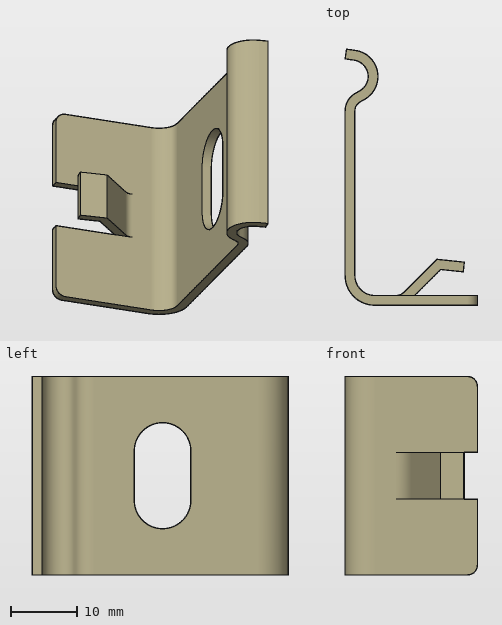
import cadquery as cq
import math

thickness = 1.5
height = 30.0
flange_length = 20.0
overall_depth = 38.7
main_bend_radius = 4.5

hook_bend_radius = 3.0
hook_bend_angle = 60
hook_radius = 4.0
hook_reach = 5.0
lip_tilt = 8

hole_width = 8.5
hole_height = 15.98
hole_center_y = 19.0

flange_corner_radius = thickness
tongue_width = 7.08
tongue_start = 7.75
tongue_bend_radius = 3.15
tongue_angle = 45
tongue_kink_x = 14.45
tongue_tip_length = 4.18
tongue_tip_droop = 6


def polar(center, radius, degrees):
    """Point at a radius and direction from a center."""
    angle = math.radians(degrees)
    return (center[0] + radius * math.cos(angle), center[1] + radius * math.sin(angle))


def extrude_centered(outline, depth):
    """Close an XY outline and extrude it equally above and below Z = 0."""
    return outline.close().extrude(depth / 2, both=True)


def make_strip():
    """Flange, wall and hook as one bent strip."""
    main_center = (main_bend_radius, main_bend_radius)
    main_inner_radius = main_bend_radius - thickness

    bend_inner_radius = hook_bend_radius - thickness
    bend_end = 180 - hook_bend_angle
    bend_middle = 180 - hook_bend_angle / 2
    hook_inner_radius = hook_radius - thickness
    hook_start = -hook_bend_angle
    hook_end = 90 - lip_tilt
    hook_middle = (hook_start + hook_end) / 2

    hook_center_x = hook_reach - hook_radius
    bend_end_x, bend_rise = polar((hook_bend_radius, 0), hook_bend_radius, bend_end)
    hook_start_x, hook_start_drop = polar((hook_center_x, 0), hook_inner_radius, hook_start)
    link_rise = (hook_start_x - bend_end_x) / math.tan(math.radians(hook_bend_angle))
    hook_rise = bend_rise + link_rise - hook_start_drop

    lip_start_x = polar((hook_center_x, 0), hook_inner_radius, hook_end)[0]
    lip_length = lip_start_x / math.cos(math.radians(lip_tilt))
    lip_outer_start = polar((hook_center_x, 0), hook_radius, hook_end)
    lip_rise = polar(lip_outer_start, lip_length, 180 - lip_tilt)[1]
    hook_center = (hook_center_x, overall_depth - lip_rise)
    wall_top = hook_center[1] - hook_rise
    bend_center = (hook_bend_radius, wall_top)
    bend_outer_end = polar(bend_center, hook_bend_radius, bend_end)
    hook_inner_end = polar(hook_center, hook_inner_radius, hook_end)
    lip_inner_tip = polar(hook_inner_end, lip_length, 180 - lip_tilt)
    lip_outer_tip = polar(lip_inner_tip, thickness, hook_end)

    outline = (
        cq.Workplane("XY")
        .moveTo(flange_length, 0)
        .lineTo(main_bend_radius, 0)
        .threePointArc(polar(main_center, main_bend_radius, 225), (0, main_bend_radius))
        .lineTo(0, wall_top)
        .threePointArc(polar(bend_center, hook_bend_radius, bend_middle), bend_outer_end)
        .lineTo(*polar(hook_center, hook_inner_radius, hook_start))
        .threePointArc(polar(hook_center, hook_inner_radius, hook_middle), hook_inner_end)
        .lineTo(*lip_inner_tip)
        .lineTo(*lip_outer_tip)
        .lineTo(*polar(hook_center, hook_radius, hook_end))
        .threePointArc(
            polar(hook_center, hook_radius, hook_middle),
            polar(hook_center, hook_radius, hook_start),
        )
        .lineTo(*polar(bend_center, bend_inner_radius, bend_end))
        .threePointArc(
            polar(bend_center, bend_inner_radius, bend_middle),
            (thickness, wall_top),
        )
        .lineTo(thickness, main_bend_radius)
        .threePointArc(
            polar(main_center, main_inner_radius, 225),
            (main_bend_radius, thickness),
        )
        .lineTo(flange_length, thickness)
    )
    strip = extrude_centered(outline, height)
    return strip.edges("|Y").edges(">X").fillet(flange_corner_radius)


def make_wall_hole():
    """Cutter for the upright oblong hole."""
    return (
        cq.Workplane("YZ")
        .center(hole_center_y, 0)
        .slot2D(hole_height, hole_width, 90)
        .extrude(thickness)
    )


def make_flange_notch():
    """Cutter for the opening left where the tongue is bent out of the flange."""
    notch_length = flange_length - tongue_start
    return cq.Workplane("XY").box(notch_length, thickness, tongue_width).translate(
        (tongue_start + notch_length / 2, thickness / 2, 0)
    )


def make_tongue():
    """Tongue that bends up from the flange and kinks down toward its tip."""
    bend_center = (tongue_start, tongue_bend_radius)
    bend_inner_radius = tongue_bend_radius - thickness
    bend_end = tongue_angle - 90
    bend_middle = bend_end - tongue_angle / 2
    lower_bend_end = polar(bend_center, tongue_bend_radius, bend_end)
    upper_bend_end = polar(bend_center, bend_inner_radius, bend_end)

    rise = (tongue_kink_x - lower_bend_end[0]) * math.tan(math.radians(tongue_angle))
    lower_kink = (tongue_kink_x, lower_bend_end[1] + rise)
    half_turn = (tongue_angle + tongue_tip_droop) / 2
    miter_length = thickness / math.cos(math.radians(half_turn))
    upper_kink = polar(lower_kink, miter_length, 90 + tongue_angle - half_turn)
    upper_tip = polar(upper_kink, tongue_tip_length, -tongue_tip_droop)
    lower_tip = polar(upper_tip, thickness, -90 - tongue_tip_droop)

    outline = (
        cq.Workplane("XY")
        .moveTo(tongue_start, 0)
        .threePointArc(polar(bend_center, tongue_bend_radius, bend_middle), lower_bend_end)
        .lineTo(*lower_kink)
        .lineTo(*lower_tip)
        .lineTo(*upper_tip)
        .lineTo(*upper_kink)
        .lineTo(*upper_bend_end)
        .threePointArc(
            polar(bend_center, bend_inner_radius, bend_middle),
            (tongue_start, thickness),
        )
    )
    return extrude_centered(outline, tongue_width)


result = make_strip().cut(make_wall_hole()).cut(make_flange_notch()).union(make_tongue())